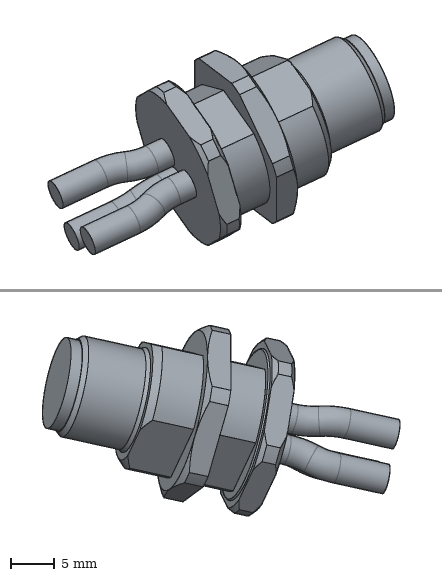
import cadquery as cq
import math


wire_end = -14.2
flange_thickness = 2.75
collar_top = 2.95
nut_front = 7.7
nut_thickness = 2.85
body_top = 16.4
barrel_start = 16.9
barrel_shoulder = 23.85
tip_start = 24.45
tip_end = 25.8

body_radius = 8.0
barrel_radius = 6.0
tip_radius = 5.4
collar_radius = 9.05
collar_top_radius = 8.9

body_chamfer = 0.9
neck_flare = 0.25
barrel_chamfer = 0.5

flat_distance = 6.75
flat_angles = (90, 135, 270)

across_flats = 19.05
flange_corner_angle = 0
nut_corner_angle = 30
flange_corner_radius = 20.9 / 2
nut_corner_radius = 21.0 / 2
flange_chamfer = 0.55
nut_chamfer_height = 0.55
nut_chamfer_width = 1.0

wire_radius = 1.75
wire_root_offset = 2.55
wire_end_offset = 3.75
bend_start = -2.15
bend_end = -8.2
wire_angles = (0, 180, 270)


def turned(profile):
    """Revolve a (radius, y) half outline about the Y axis."""
    return cq.Workplane("XY").polyline(profile).close().revolve(360, (0, 0, 0), (0, 1, 0))


def hexagon(y_start, thickness, corner_angle):
    """Hexagonal prism along Y; corner_angle is the direction of one corner in the XZ plane."""
    across_corners = across_flats / math.cos(math.pi / 6)
    prism = cq.Workplane("XZ").polygon(6, across_corners).extrude(-thickness)
    return prism.rotate((0, 0, 0), (0, 1, 0), corner_angle).translate((0, y_start, 0))


def make_body():
    """Threaded body with lengthwise flats."""
    body = turned([
        (0, 0),
        (body_radius, 0),
        (body_radius, body_top - body_chamfer),
        (body_radius - body_chamfer, body_top),
        (0, body_top),
    ])
    width = 2 * body_radius
    for angle in flat_angles:
        waste = cq.Workplane("XY").box(width, body_top, width)
        waste = waste.translate((flat_distance + width / 2, body_top / 2, 0))
        body = body.cut(waste.rotate((0, 0, 0), (0, 1, 0), -angle))
    return body


def make_plug():
    """Round plug end: flared neck, barrel and narrower tip."""
    return turned([
        (0, body_top),
        (barrel_radius + neck_flare, body_top),
        (barrel_radius, barrel_start),
        (barrel_radius, barrel_shoulder),
        (barrel_radius - barrel_chamfer, tip_start),
        (tip_radius, tip_start),
        (tip_radius, tip_end),
        (0, tip_end),
    ])


def make_flange():
    """Hexagonal flange, corners chamfered on both faces, with a low tapered collar."""
    envelope = turned([
        (0, 0),
        (flange_corner_radius - flange_chamfer, 0),
        (flange_corner_radius, flange_chamfer),
        (flange_corner_radius, flange_thickness - flange_chamfer),
        (flange_corner_radius - flange_chamfer, flange_thickness),
        (0, flange_thickness),
    ])
    collar = turned([
        (0, 0),
        (collar_radius, 0),
        (collar_radius, flange_thickness),
        (collar_top_radius, collar_top),
        (0, collar_top),
    ])
    return hexagon(0, flange_thickness, flange_corner_angle).intersect(envelope).union(collar)


def make_nut():
    """Hexagonal nut, corners chamfered on the plug side only."""
    nut_back = nut_front + nut_thickness
    envelope = turned([
        (0, nut_front),
        (nut_corner_radius, nut_front),
        (nut_corner_radius, nut_back - nut_chamfer_height),
        (nut_corner_radius - nut_chamfer_width, nut_back),
        (0, nut_back),
    ])
    return hexagon(nut_front, nut_thickness, nut_corner_angle).intersect(envelope)


def make_wire(angle):
    """Wire that steps outward through two equal tangent arcs, turned to its angle about Y."""
    bend_middle = ((wire_root_offset + wire_end_offset) / 2, (bend_start + bend_end) / 2)
    path = (
        cq.Workplane("XY")
        .moveTo(wire_root_offset, 0)
        .lineTo(wire_root_offset, bend_start)
        .tangentArcPoint(bend_middle, relative=False)
        .tangentArcPoint((wire_end_offset, bend_end), relative=False)
        .lineTo(wire_end_offset, wire_end)
    )
    wire = cq.Workplane("XZ").center(wire_root_offset, 0).circle(wire_radius).sweep(path)
    return wire.rotate((0, 0, 0), (0, 1, 0), -angle)


result = make_body().union(make_plug()).union(make_flange()).union(make_nut())
for wire_angle in wire_angles:
    result = result.union(make_wire(wire_angle))